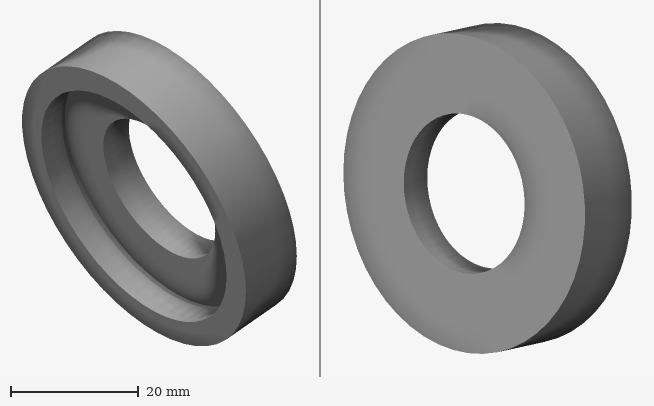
import cadquery as cq

outer_diameter = 50.8
thickness = 11.0
recess_diameter = 42.0
recess_depth = 5.5
bore_diameter = 25.4
groove_width = 1.0
groove_depth = 0.4

front_y = -thickness / 2
floor_y = front_y + recess_depth


def disc(diameter, start_y, length):
    """Cylinder along +Y, starting at start_y."""
    return (
        cq.Workplane("XZ", origin=(0, start_y, 0))
        .circle(diameter / 2)
        .extrude(-length)
    )


body = disc(outer_diameter, front_y, thickness)
bore = disc(bore_diameter, front_y, thickness)

recess = disc(recess_diameter, front_y, recess_depth)

groove = disc(recess_diameter + 2 * groove_depth, floor_y - groove_width, groove_width)

result = body.cut(bore).cut(recess).cut(groove)